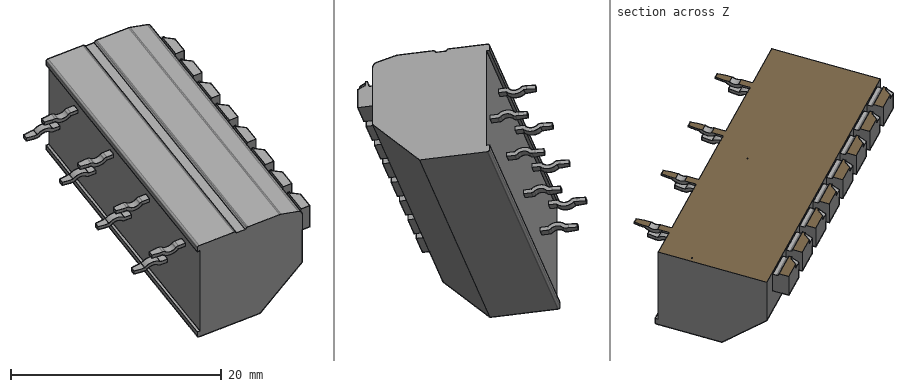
import cadquery as cq
import math

housing_length = 29.5
housing_depth = 11.45
housing_height = 12.0
rail_projection = 0.3
rail_height = 0.75
rail_edge_radius = 0.2
back_bevel = 4.6
roof_slope_depth = 2.4
roof_slope_angle = 15.0
roof_radius = 0.6

groove_back_y = 5.43
groove_front_y = 4.07
groove_depth = 0.2
groove_shoulder_radius = 0.18

pole_count = 8
end_plate_width = 1.5
pole_pitch = (housing_length - end_plate_width) / pole_count

first_pin_x = 1.8
pin_width = 0.75
pin_thickness = 0.4
pin_reach = 3.3
pin_root = 0.3
tip_width = 0.53
tip_length = 0.83
upper_pin_z = 9.74
pin_row_spacing = 5.02
bend_center_y = -1.33
bend_half_span = 0.85
bend_height = 0.35

first_button_x = 0.88
button_width = 2.63
button_projection = 1.65
button_bottom_z = 7.23
button_height = 2.8
button_step_top_y = 12.15
button_step_foot_y = 12.0
button_step_depth = 0.55
button_step_radius = 0.2
notch_depth = 0.8
notch_length = 0.77
notch_floor_length = 0.7
notch_floor_rise = 0.35
notch_back_width = 0.8
notch_front_width = 0.18


def make_housing():
    """Housing profile extruded along X, with its long edges rounded."""
    slope_drop = roof_slope_depth * math.tan(math.radians(roof_slope_angle))
    slope_start_y = housing_depth - roof_slope_depth
    groove_floor_z = housing_height - groove_depth
    profile = [
        (0, 0),
        (housing_depth - back_bevel, 0),
        (housing_depth, back_bevel),
        (housing_depth, housing_height - slope_drop),
        (slope_start_y, housing_height),
        (groove_back_y, housing_height),
        (groove_back_y - groove_depth, groove_floor_z),
        (groove_front_y + groove_depth, groove_floor_z),
        (groove_front_y, housing_height),
        (0, housing_height),
        (0, housing_height - rail_height),
        (rail_projection, housing_height - rail_height),
        (rail_projection, rail_height),
        (0, rail_height),
    ]
    housing = cq.Workplane("YZ").polyline(profile).close().extrude(housing_length)

    def round_edges(body, points, radius):
        middle_x = housing_length / 2
        for y, z in points:
            edge = cq.selectors.NearestToPointSelector((middle_x, y, z))
            body = body.edges(edge).fillet(radius)
        return body

    roof_edges = [(housing_depth, housing_height - slope_drop), (slope_start_y, housing_height)]
    groove_edges = [(groove_back_y, housing_height), (groove_front_y, housing_height)]
    rail_edges = [(0, 0), (0, housing_height)]
    housing = round_edges(housing, roof_edges, roof_radius)
    housing = round_edges(housing, groove_edges, groove_shoulder_radius)
    return round_edges(housing, rail_edges, rail_edge_radius)


def make_pin():
    """Flat pin centred on X = 0 and Z = 0, with a downward bend and a tapered tip."""
    outer_radius = (bend_half_span**2 + bend_height**2) / (2 * bend_height)
    inner_radius = outer_radius - pin_thickness
    end_angle = math.asin(bend_half_span / outer_radius)
    top_z = pin_thickness / 2
    bottom_z = -top_z
    arc_center_z = bottom_z - bend_height + outer_radius
    bend_start_y = bend_center_y + bend_half_span
    bend_end_y = bend_center_y - bend_half_span

    roll_y = pin_thickness * math.sin(end_angle)
    roll_z = bottom_z + pin_thickness * math.cos(end_angle)
    half_roll_y = pin_thickness * math.sin(end_angle / 2)
    half_roll_z = bottom_z + pin_thickness * math.cos(end_angle / 2)

    strip = (
        cq.Workplane("YZ", origin=(-pin_width / 2, 0, 0))
        .moveTo(rail_projection + pin_root, top_z)
        .lineTo(bend_start_y, top_z)
        .threePointArc((bend_start_y - half_roll_y, half_roll_z), (bend_start_y - roll_y, roll_z))
        .threePointArc((bend_center_y, arc_center_z - inner_radius), (bend_end_y + roll_y, roll_z))
        .threePointArc((bend_end_y + half_roll_y, half_roll_z), (bend_end_y, top_z))
        .lineTo(-pin_reach, top_z)
        .lineTo(-pin_reach, bottom_z)
        .lineTo(bend_end_y, bottom_z)
        .threePointArc((bend_center_y, bottom_z - bend_height), (bend_start_y, bottom_z))
        .lineTo(rail_projection + pin_root, bottom_z)
        .close()
        .extrude(pin_width)
    )
    plan = [
        (-pin_width / 2, rail_projection + pin_root),
        (-pin_width / 2, tip_length - pin_reach),
        (-tip_width / 2, -pin_reach),
        (tip_width / 2, -pin_reach),
        (pin_width / 2, tip_length - pin_reach),
        (pin_width / 2, rail_projection + pin_root),
    ]
    envelope = cq.Workplane("XY").polyline(plan).close().extrude(housing_height, both=True)
    return strip.intersect(envelope)


def make_button():
    """Stepped button whose left side is at X = 0, with a notch in its upper back left corner."""
    back_y = housing_depth + button_projection
    top_z = button_bottom_z + button_height
    ledge_z = top_z - button_step_depth
    profile = [
        (housing_depth, button_bottom_z),
        (back_y, button_bottom_z),
        (back_y, top_z),
        (button_step_top_y, top_z),
        (button_step_foot_y, ledge_z),
        (housing_depth, ledge_z),
    ]
    button = cq.Workplane("YZ").polyline(profile).close().extrude(button_width)
    step_foot = cq.selectors.NearestToPointSelector((button_width / 2, button_step_foot_y, ledge_z))
    button = button.edges(step_foot).fillet(button_step_radius)

    notch_floor_z = top_z - notch_depth
    notch_profile = [
        (back_y, top_z),
        (back_y - notch_length, top_z),
        (back_y - notch_floor_length, notch_floor_z + notch_floor_rise),
        (back_y, notch_floor_z),
    ]
    notch_plan = [
        (0, back_y),
        (notch_back_width, back_y),
        (notch_front_width, back_y - notch_length),
        (0, back_y - notch_length),
    ]
    wedge = cq.Workplane("YZ").polyline(notch_profile).close().extrude(button_width)
    column = cq.Workplane("XY").polyline(notch_plan).close().extrude(top_z)
    return button.cut(wedge.intersect(column))


lower_pin = make_pin().rotate((0, 0, 0), (0, 1, 0), 180)
lower_pin = lower_pin.translate((0, 0, upper_pin_z - pin_row_spacing))
upper_pin = make_pin().translate((0, 0, upper_pin_z))
button = make_button()

result = make_housing()
for pole in range(pole_count):
    pole_offset = pole * pole_pitch
    pin = lower_pin if pole % 2 == 0 else upper_pin
    result = result.union(pin.translate((first_pin_x + pole_offset, 0, 0)))
    result = result.union(button.translate((first_button_x + pole_offset, 0, 0)))